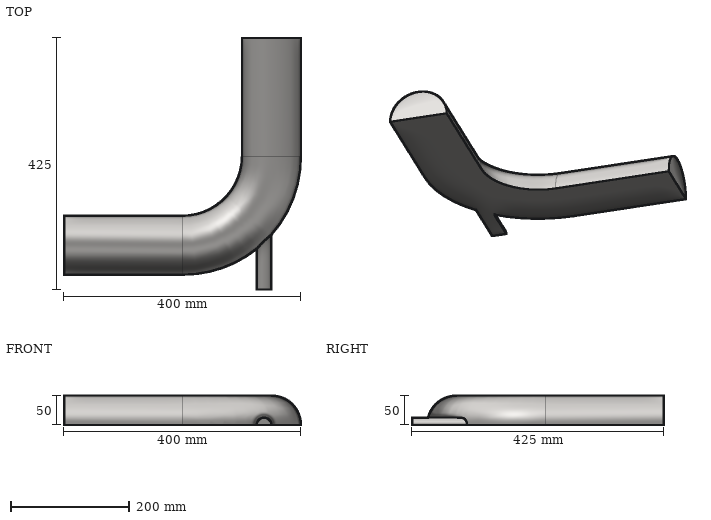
import cadquery as cq
import math

pipe_radius = 50.0
leg_length = 200.0
bend_radius = 150.0

bend_angle = 90.0

branch_radius = 12.5
branch_x = bend_radius - branch_radius
branch_overhang = 25.0
branch_end_y = -(bend_radius + pipe_radius + branch_overhang)
branch_start_y = -math.sqrt(bend_radius**2 - branch_x**2)


def half_disc(plane, radius):
    """Half-disc profile standing on Z = 0; the plane's local Y is global Z."""
    return (
        cq.Workplane(plane)
        .moveTo(-radius, 0)
        .threePointArc((0, radius), (radius, 0))
        .close()
    )


def half_pipe(start, direction, radius, length):
    """Straight half-round bar from a start point along a horizontal direction."""
    axis = cq.Vector(*direction)
    across = cq.Vector(0, 0, 1).cross(axis)
    plane = cq.Plane(origin=start, xDir=across.toTuple(), normal=direction)
    return half_disc(plane, radius).extrude(length)


def half_bend():
    """Quarter turn about the Z axis, from the X-direction leg to the Y-direction leg."""
    plane = cq.Plane(origin=(bend_radius, 0, 0), xDir=(1, 0, 0), normal=(0, -1, 0))
    return half_disc(plane, pipe_radius).revolve(bend_angle, (-bend_radius, 0), (-bend_radius, -1))


leg_x = half_pipe((0, -bend_radius, 0), (-1, 0, 0), pipe_radius, leg_length)
leg_y = half_pipe((bend_radius, 0, 0), (0, 1, 0), pipe_radius, leg_length)
branch = half_pipe(
    (branch_x, branch_start_y, 0), (0, -1, 0), branch_radius, branch_start_y - branch_end_y
)

result = half_bend().union(leg_x).union(leg_y).union(branch)